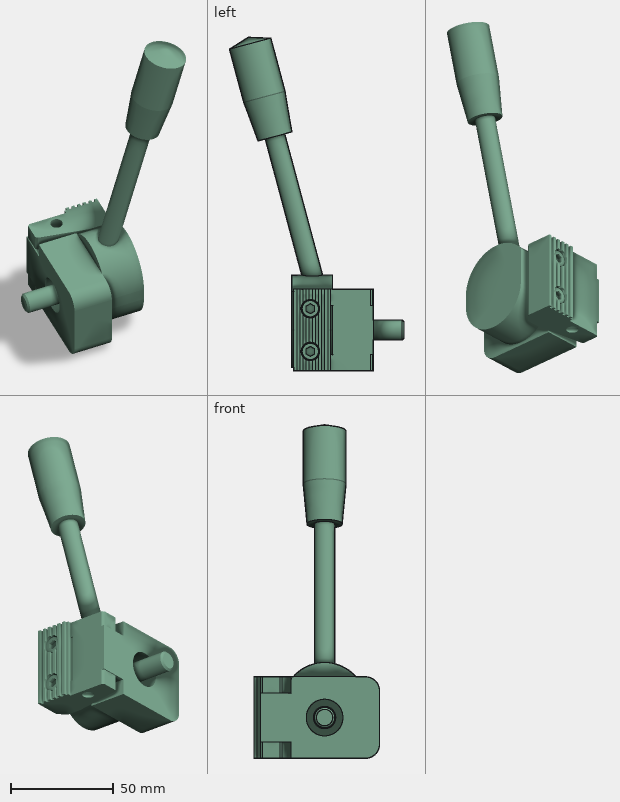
import cadquery as cq
import math


overall_height = 163.2

height = 40.0
top = height / 2
block_depth = top
block_left = -16.3
block_right = 27.0
corner_radius = 7.0
bore_diameter = 18.0
tongue_height = 24.0

jaw_left = -31.3
jaw_front = 0.5
jaw_front_right = -20.9
jaw_back = 39.0
jaw_shoulder = 21.0
jaw_flat_front = 27.0
jaw_corner = 4.0
jaw_front_chamfer = 1.0
hinge_diameter = 6.0
hinge_x = -26.5
hinge_y = 13.9

tooth_count = 6
tooth_width = 1.52
tooth_pitch = 2 * tooth_width
tooth_depth = 1.5
tooth_tip = -34.6
tooth_root = tooth_tip + tooth_depth

screw_hole_diameter = 9.0
screw_head_diameter = 8.0
screw_socket_width = 4.2
screw_hole_depth = 6.0
screw_head_recess = 1.5
screw_socket_depth = 2.5
screw_y = 30.9
screw_spacing = 20.9

drum_width = 36.7
drum_depth = block_depth
drum_crown_radius = 20.4
drum_top = 27.0
drum_back = block_depth + drum_depth

pin_diameter = 10.0
pin_tip_diameter = 8.0
pin_chamfer = (pin_diameter - pin_tip_diameter) / 2
pin_reach = 15.0
pin_hole_diameter = 11.0
pin_hole_depth = 10.0

lever_angle = 15
lever_y = block_depth + drum_depth / 2
lever_diameter = 10.0
lever_root_depth = 9.8
knob_taper_length = 20.0
knob_length = 47.0
knob_small_diameter = 17.3
knob_diameter = 21.0
knob_cone_height = 3.3


def box(x_min, x_max, y_min, y_max, z_min, z_max):
    return cq.Workplane("XY").box(
        x_max - x_min, y_max - y_min, z_max - z_min, centered=False
    ).translate((x_min, y_min, z_min))


def y_cylinder(diameter, y_min, y_max):
    """Cylinder on the pin axis."""
    return cq.Workplane("XZ", origin=(0, y_min, 0)).circle(diameter / 2).extrude(y_min - y_max)


def make_block():
    block = box(block_left, block_right, 0, block_depth, -top, top)
    block = block.edges("|Y and >X").fillet(corner_radius)
    tongue = box(jaw_left, block_left, 0, block_depth, -tongue_height / 2, tongue_height / 2)
    return block.union(tongue).cut(y_cylinder(bore_diameter, 0, block_depth))


def make_screw_hole(z):
    """Counterbore with a socket-head screw left standing in it, as a tool to cut away."""
    head_x = tooth_tip + screw_head_recess
    plane = cq.Workplane("YZ", origin=(tooth_tip, screw_y, z))
    head_plane = cq.Workplane("YZ", origin=(head_x, screw_y, z))
    hole = plane.circle(screw_hole_diameter / 2).extrude(screw_hole_depth)
    head = head_plane.circle(screw_head_diameter / 2).extrude(screw_hole_depth)
    socket_corners = screw_socket_width / math.cos(math.pi / 6)
    corner_up_plane = head_plane.transformed(rotate=(0, 0, 90))
    socket = corner_up_plane.polygon(6, socket_corners).extrude(screw_socket_depth)
    return hole.cut(head).union(socket)


def make_jaw():
    last_tooth_front = jaw_back - (tooth_count - 1) * tooth_pitch - tooth_width
    jaw = (
        cq.Workplane("XY", origin=(0, 0, -top))
        .moveTo(jaw_left + jaw_front_chamfer, jaw_front)
        .lineTo(jaw_front_right - jaw_front_chamfer, jaw_front)
        .lineTo(jaw_front_right, jaw_front + jaw_front_chamfer)
        .lineTo(block_left, jaw_flat_front)
        .lineTo(block_left, jaw_back - jaw_corner)
        .lineTo(block_left - jaw_corner, jaw_back)
        .lineTo(tooth_tip, jaw_back)
        .lineTo(tooth_tip, last_tooth_front)
        .lineTo(tooth_root, last_tooth_front)
        .lineTo(tooth_root, jaw_shoulder)
        .lineTo(jaw_left, jaw_shoulder)
        .lineTo(jaw_left, jaw_front + jaw_front_chamfer)
        .close()
        .extrude(height)
    )
    for i in range(tooth_count - 1):
        groove_back = jaw_back - tooth_width - i * tooth_pitch
        jaw = jaw.cut(box(tooth_tip, tooth_root, groove_back - tooth_width, groove_back, -top, top))
    jaw = jaw.cut(box(tooth_tip, block_left, 0, jaw_shoulder, -tongue_height / 2, tongue_height / 2))
    for side in (-1, 1):
        jaw = jaw.cut(make_screw_hole(side * screw_spacing / 2))
    return jaw


def make_drum():
    """Half-round below the pin axis, straight sides, and a wider crown arc cut by the left side."""
    left = block_left
    right = left + drum_width
    crown_x = right - drum_crown_radius
    crown_z = drum_top - drum_crown_radius
    crown_left_z = crown_z + math.sqrt(drum_crown_radius**2 - (crown_x - left) ** 2)
    return (
        cq.Workplane("XZ", origin=(0, block_depth, 0))
        .moveTo(left, 0)
        .lineTo(left, crown_left_z)
        .threePointArc((crown_x, drum_top), (right, crown_z))
        .lineTo(right, 0)
        .threePointArc(((left + right) / 2, -drum_width / 2), (left, 0))
        .close()
        .extrude(-drum_depth)
        .cut(y_cylinder(pin_hole_diameter, block_depth, block_depth + pin_hole_depth))
    )


def make_pin():
    pin = y_cylinder(pin_diameter, -pin_reach, drum_back)
    return pin.faces("<Y").chamfer(pin_chamfer)


def make_lever():
    """Rod and knob revolved about Z, then leaned back from the top of the drum."""
    knob_tip = (overall_height - top - drum_top) / math.cos(math.radians(lever_angle))
    knob_end = knob_tip - knob_cone_height
    knob_start = knob_end - knob_length
    rim = knob_diameter / 2
    lever = (
        cq.Workplane("XZ")
        .moveTo(0, -lever_root_depth)
        .lineTo(lever_diameter / 2, -lever_root_depth)
        .lineTo(lever_diameter / 2, knob_start)
        .lineTo(knob_small_diameter / 2, knob_start)
        .lineTo(rim, knob_start + knob_taper_length)
        .lineTo(rim, knob_end)
        .lineTo(0, knob_tip)
        .close()
        .revolve(360, (0, 0, 0), (0, 1, 0))
    )
    return lever.rotate((0, 0, 0), (1, 0, 0), -lever_angle).translate((0, lever_y, drum_top))


hinge_hole = (
    cq.Workplane("XY", origin=(hinge_x, hinge_y, -top)).circle(hinge_diameter / 2).extrude(height)
)

result = make_block().union(make_jaw()).union(make_drum()).union(make_pin()).union(make_lever())
result = result.cut(hinge_hole)